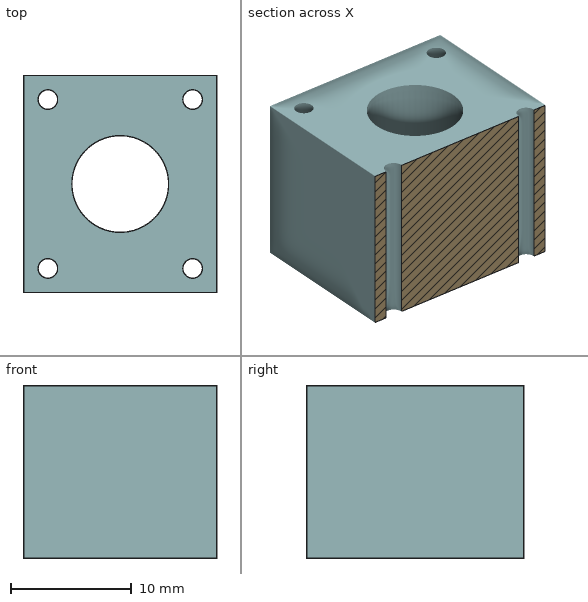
import cadquery as cq

length_x = 16.0
width_y = 18.0
height_z = 14.3

bore_diameter = 8.0

screw_hole_diameter = 1.6
screw_hole_inset = 2.0
screw_spacing_x = length_x - 2 * screw_hole_inset
screw_spacing_y = width_y - 2 * screw_hole_inset


def make_block():
    """Plain rectangular block standing on the XY plane."""
    return cq.Workplane("XY").box(length_x, width_y, height_z, centered=(True, True, False))


def cut_bore(body):
    """Bore through the full height at the centre."""
    return body.faces(">Z").workplane(origin=(0, 0, height_z)).hole(bore_diameter)


def cut_screw_holes(body):
    """Four through holes, one near each vertical edge."""
    return (
        body.faces(">Z")
        .workplane(origin=(0, 0, height_z))
        .rect(screw_spacing_x, screw_spacing_y, forConstruction=True)
        .vertices()
        .hole(screw_hole_diameter)
    )


result = cut_screw_holes(cut_bore(make_block()))